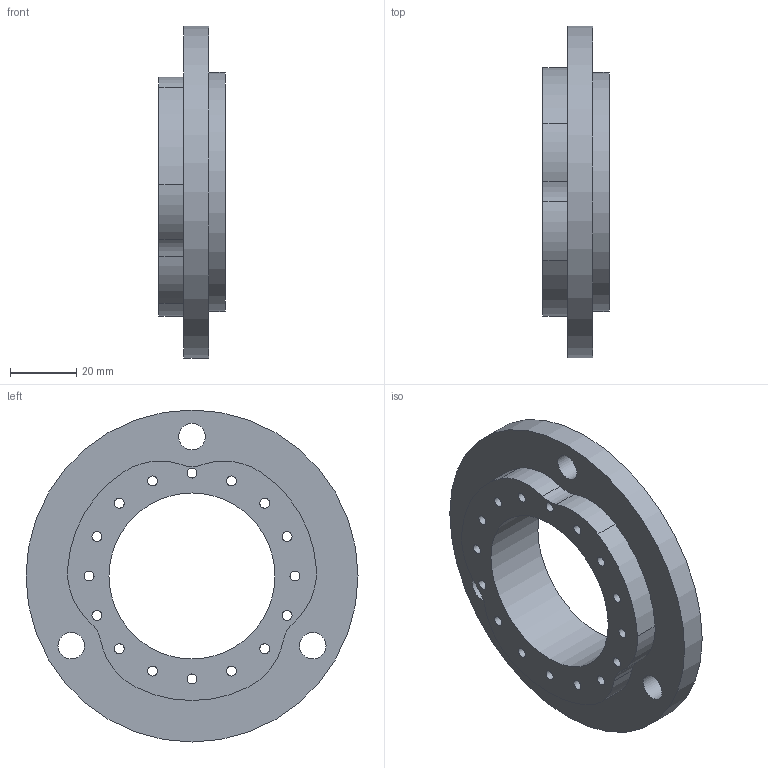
import cadquery as cq
import math

lobe_thickness = 7.5
flange_thickness = 7.5
spigot_thickness = 5.0
flange_diameter = 100.0
spigot_diameter = 72.0
bore_diameter = 50.0

mount_hole_count = 3
mount_hole_diameter = 8.0
mount_circle_radius = 42.0

small_hole_count = 16
small_hole_diameter = 3.0
small_circle_radius = 31.0

lobe_radius = 37.5
relief_radius = 9.0
blend_radius = 20.0

total_thickness = lobe_thickness + flange_thickness + spigot_thickness


def polar(radius, angle):
    """Point in the YZ plane at an angle in radians, measured from +Z toward +Y."""
    return (radius * math.sin(angle), radius * math.cos(angle))


def disc(diameter, start, thickness):
    """Disc on the X axis that starts at the given X."""
    return cq.Workplane("YZ").workplane(offset=start).circle(diameter / 2).extrude(thickness)


def hole_ring(count, hole_diameter, circle_radius):
    """Ring of cylinders that run the full thickness of the part."""
    centers = [polar(circle_radius, 2 * math.pi * i / count) for i in range(count)]
    return cq.Workplane("YZ").pushPoints(centers).circle(hole_diameter / 2).extrude(total_thickness)


def lobed_boss():
    """Boss whose reliefs, blends and lobes are arcs tangent to one another."""
    blend_center_radius = lobe_radius - blend_radius
    blend_to_relief = relief_radius + blend_radius
    blend_angle = math.acos(
        (mount_circle_radius**2 + blend_center_radius**2 - blend_to_relief**2)
        / (2 * mount_circle_radius * blend_center_radius)
    )
    blend_y, blend_z = polar(blend_center_radius, blend_angle)
    relief_share = relief_radius / blend_to_relief
    meet_y = relief_share * blend_y
    meet_z = mount_circle_radius + relief_share * (blend_z - mount_circle_radius)
    meet_radius = math.hypot(meet_y, meet_z)
    meet_angle = math.atan2(meet_y, meet_z)

    to_relief_angle = math.atan2(meet_y - blend_y, meet_z - blend_z)
    middle_y, middle_z = polar(blend_radius, (to_relief_angle + blend_angle) / 2)
    middle_y += blend_y
    middle_z += blend_z
    middle_radius = math.hypot(middle_y, middle_z)
    middle_angle = math.atan2(middle_y, middle_z)

    pitch = 2 * math.pi / mount_hole_count
    relief_bottom_radius = mount_circle_radius - relief_radius
    outline = cq.Workplane("YZ").moveTo(*polar(meet_radius, -meet_angle))
    for i in range(mount_hole_count):
        hole_angle = i * pitch
        next_angle = hole_angle + pitch
        outline = outline.threePointArc(
            polar(relief_bottom_radius, hole_angle),
            polar(meet_radius, hole_angle + meet_angle),
        )
        outline = outline.threePointArc(
            polar(middle_radius, hole_angle + middle_angle),
            polar(lobe_radius, hole_angle + blend_angle),
        )
        outline = outline.threePointArc(
            polar(lobe_radius, hole_angle + pitch / 2),
            polar(lobe_radius, next_angle - blend_angle),
        )
        outline = outline.threePointArc(
            polar(middle_radius, next_angle - middle_angle),
            polar(meet_radius, next_angle - meet_angle),
        )
    return outline.close().extrude(lobe_thickness)


flange = disc(flange_diameter, lobe_thickness, flange_thickness)
spigot = disc(spigot_diameter, lobe_thickness + flange_thickness, spigot_thickness)
bore = disc(bore_diameter, 0, total_thickness)
mount_holes = hole_ring(mount_hole_count, mount_hole_diameter, mount_circle_radius)
small_holes = hole_ring(small_hole_count, small_hole_diameter, small_circle_radius)

body = lobed_boss().union(flange).union(spigot)
result = body.cut(bore).cut(mount_holes).cut(small_holes)